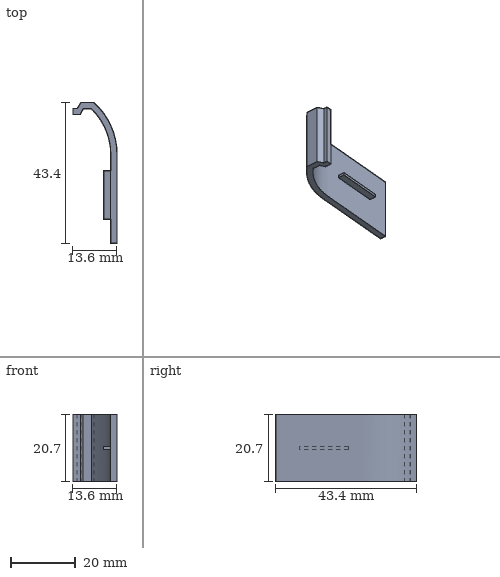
import cadquery as cq
import math

overall_x = 13.6
overall_y = 43.4
width_z = 20.7
wall = 2.0

outer_radius = 21.5
inner_radius = outer_radius - wall
bend_start_y = -16.0

crest_left_x = -11.2
step_y = -1.85
lip_thickness = 1.85
step_run = 1.1
notch_left_x = -10.45
notch_y = -wall
notch_run = 0.9

rib_height = 2.2
rib_length = 15.0
rib_thickness = 0.9
rib_start_y = -21.0


def arc_point(radius, angle):
    """Point on an arc around the bend axis, angle measured from +X."""
    return (
        -outer_radius + radius * math.cos(angle),
        bend_start_y + radius * math.sin(angle),
    )


def make_strip():
    """Flat strip, bend and hook, extruded across the width."""
    outer_angle = math.asin(-bend_start_y / outer_radius)
    inner_angle = math.asin((notch_y - bend_start_y) / inner_radius)
    lip_bottom_y = step_y - lip_thickness
    return (
        cq.Workplane("XY")
        .moveTo(0, -overall_y)
        .lineTo(0, bend_start_y)
        .threePointArc(arc_point(outer_radius, outer_angle / 2), arc_point(outer_radius, outer_angle))
        .lineTo(crest_left_x, 0)
        .lineTo(crest_left_x - step_run, step_y)
        .lineTo(-overall_x, step_y)
        .lineTo(-overall_x, lip_bottom_y)
        .lineTo(notch_left_x - notch_run, lip_bottom_y)
        .lineTo(notch_left_x, notch_y)
        .lineTo(*arc_point(inner_radius, inner_angle))
        .threePointArc(arc_point(inner_radius, inner_angle / 2), (-wall, bend_start_y))
        .lineTo(-wall, -overall_y)
        .close()
        .extrude(width_z)
    )


def make_rib():
    """Rib reaching into the strip to the middle of its wall."""
    root = wall / 2
    return (
        cq.Workplane("XY")
        .box(rib_height + root, rib_length, rib_thickness, centered=(False, False, True))
        .translate((-wall - rib_height, rib_start_y - rib_length, width_z / 2))
    )


result = make_strip().union(make_rib())